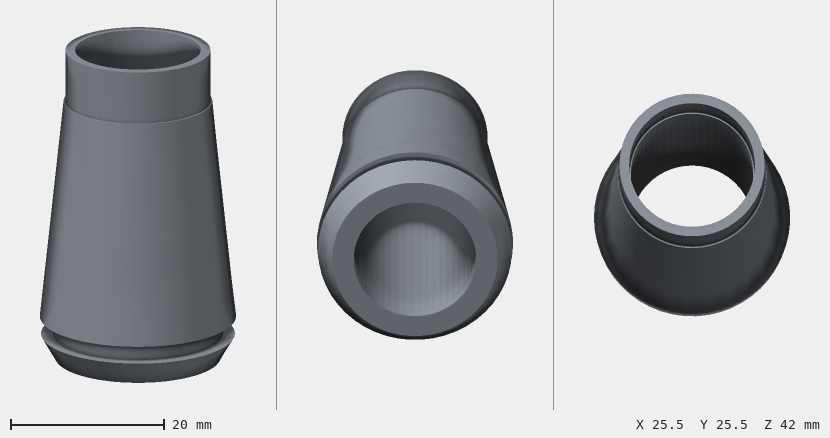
import cadquery as cq

total_height = 42.0
flange_height = 3.25
groove_height = 2.35
neck_height = 6.97
upper_bore_depth = 6.2

flange_bottom_diameter = 21.5
flange_top_diameter = 25.2
groove_diameter = 22.1
body_bottom_diameter = 25.5
body_top_diameter = 19.3
neck_diameter = 18.85
bore_diameter = 15.9
upper_bore_diameter = 16.35

body_bottom_z = flange_height + groove_height
body_top_z = total_height - neck_height
step_z = total_height - upper_bore_depth


def revolved_sleeve():
    """Revolve the half section, from radius and height, about the Z axis."""
    profile = (
        cq.Workplane("YZ")
        .moveTo(bore_diameter / 2, 0)
        .lineTo(flange_bottom_diameter / 2, 0)
        .lineTo(flange_top_diameter / 2, flange_height)
        .lineTo(groove_diameter / 2, flange_height)
        .lineTo(groove_diameter / 2, body_bottom_z)
        .lineTo(body_bottom_diameter / 2, body_bottom_z)
        .lineTo(body_top_diameter / 2, body_top_z)
        .lineTo(neck_diameter / 2, body_top_z)
        .lineTo(neck_diameter / 2, total_height)
        .lineTo(upper_bore_diameter / 2, total_height)
        .lineTo(upper_bore_diameter / 2, step_z)
        .lineTo(bore_diameter / 2, step_z)
        .close()
    )
    return profile.revolve(360, (0, 0, 0), (0, 1, 0))


result = revolved_sleeve()